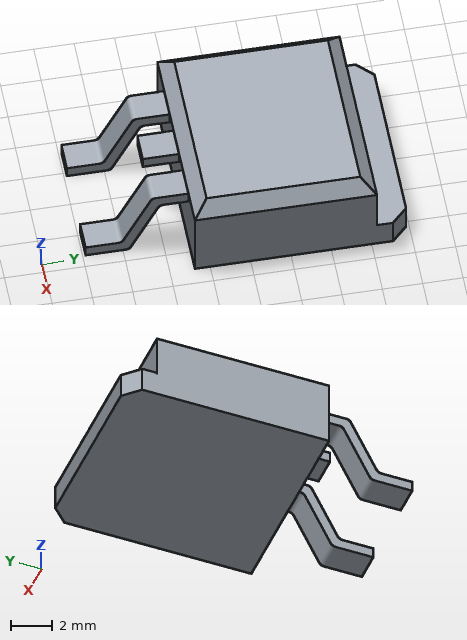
import cadquery as cq
import math

overall_length = 15.7
body_width = 10.2
body_height = 4.4
body_length = 9.03
top_bevel = 0.7

tab_length = 1.59
tab_thickness = 1.4
tab_corner = 0.8

lead_width = 1.5
lead_thickness = 0.6
lead_pitch = 5.1
lead_top = 3.61
stub_length = 1.79
lead_slope_angle = 63.5
bend_radius = 0.3

lead_length = overall_length - body_length - tab_length
body_back = body_length
tab_back = body_back + tab_length


def make_body():
    """Plastic block with its front face at Y = 0 and a bevel around the top."""
    block = cq.Workplane("XY").box(body_width, body_length, body_height, centered=(True, False, False))
    return block.faces(">Z").chamfer(top_bevel)


def make_tab():
    """Heat-sink tab behind the body, with its two back corners cut off."""
    tab = cq.Workplane("XY").box(body_width, tab_length, tab_thickness, centered=(True, False, False))
    return tab.edges("|Z and >Y").chamfer(tab_corner).translate((0, body_back, 0))


def make_stub():
    """Short straight centre lead."""
    stub = cq.Workplane("XY").box(lead_width, stub_length, lead_thickness, centered=(True, False, False))
    return stub.translate((0, -stub_length, lead_top - lead_thickness))


def make_bent_lead(center_x):
    """Gull-wing lead: level shoulder, sloping leg and flat foot of constant thickness."""
    slope = math.radians(lead_slope_angle)
    leg_run = (lead_top - lead_thickness) / math.tan(slope)
    miter_shift = lead_thickness * math.tan(slope / 2)
    knee_outer = (-stub_length, lead_top)
    knee_inner = (-stub_length + miter_shift, lead_top - lead_thickness)
    ankle_inner = (-stub_length - leg_run, lead_thickness)
    ankle_outer = (-stub_length - leg_run + miter_shift, 0)
    profile = [
        (0, lead_top),
        knee_outer,
        ankle_inner,
        (-lead_length, lead_thickness),
        (-lead_length, 0),
        ankle_outer,
        knee_inner,
        (0, lead_top - lead_thickness),
    ]
    lead = cq.Workplane("YZ").polyline(profile).close().extrude(lead_width / 2, both=True)
    for y, z in (knee_outer, knee_inner, ankle_inner, ankle_outer):
        bend = cq.selectors.NearestToPointSelector((0, y, z))
        lead = lead.edges(bend).fillet(bend_radius)
    return lead.translate((center_x, 0, 0))


result = make_body().union(make_tab()).union(make_stub())
for side in (-1, 1):
    result = result.union(make_bent_lead(side * lead_pitch / 2))

result = result.translate((0, overall_length / 2 - tab_back, 0))